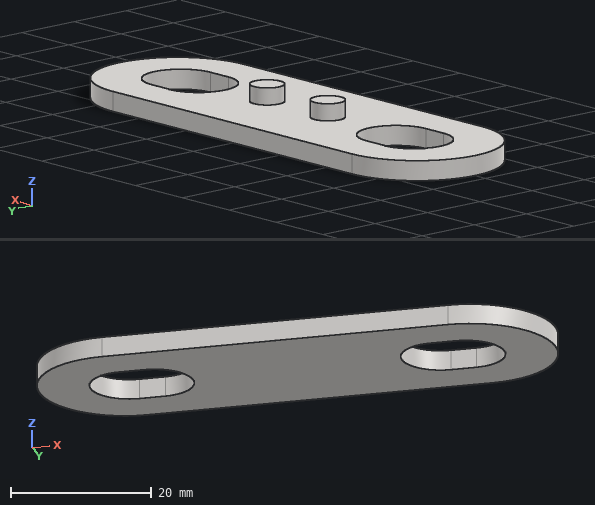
import cadquery as cq

length = 76.0
width = 25.0
thickness = 3.0

slot_length = 15.05
slot_width = 11.25
slot_offset = 22.95

total_height = 5.5
peg_diameter = 5.0
peg_offset = 6.45


def make_plate():
    """Flat plate with full-round ends, resting on Z = 0."""
    return cq.Workplane("XY").slot2D(length, width).extrude(thickness)


def make_slots():
    """Cutters for the two through slots, mirrored about the plate centre."""
    return (
        cq.Workplane("XY")
        .pushPoints([(-slot_offset, 0), (slot_offset, 0)])
        .slot2D(slot_length, slot_width)
        .extrude(thickness)
    )


def make_pegs():
    """Two round pegs that run from the plate's underside to full height."""
    return (
        cq.Workplane("XY")
        .pushPoints([(-peg_offset, 0), (peg_offset, 0)])
        .circle(peg_diameter / 2)
        .extrude(total_height)
    )


result = make_plate().cut(make_slots()).union(make_pegs())